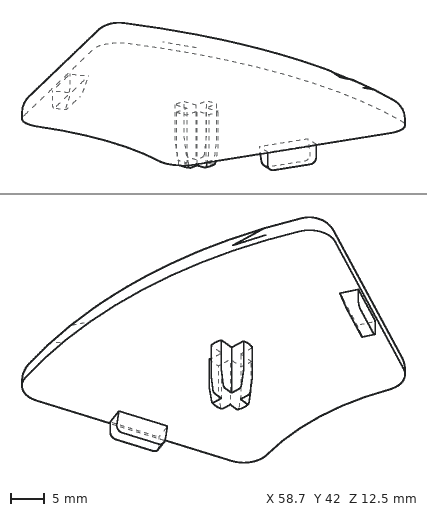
import cadquery as cq
import math

OUTER_RADIUS = 80.0
INNER_RADIUS = OUTER_RADIUS / 2
MID_RADIUS = (OUTER_RADIUS + INNER_RADIUS) / 2
HALF_ANGLE = 22.5
PLATE_THICKNESS = 4.0
CORNER_RADIUS = 4.0
TOP_FILLET = 3.0

POST_LENGTH = 8.5
POST_RADIUS = 3.45
POST_TIP_RADIUS = 3.0
POST_TAPER_LENGTH = 3.0
POST_TIP_FILLET = 0.45
RIB_THICKNESS = 2.0

CLIP_LENGTH = 8.0
CLIP_HEIGHT = 3.0
CLIP_TOP_WIDTH = 2.9
CLIP_BOTTOM_WIDTH = 1.9
CLIP_FILLET = 1.0
CLIP_INSET = 0.35


def polar_point(radius, angle_from_y):
    angle = math.radians(angle_from_y)
    return (radius * math.sin(angle), radius * math.cos(angle))


def make_plate():
    sector = (
        cq.Workplane("XY")
        .moveTo(*polar_point(INNER_RADIUS, -HALF_ANGLE))
        .lineTo(*polar_point(OUTER_RADIUS, -HALF_ANGLE))
        .threePointArc((0, OUTER_RADIUS), polar_point(OUTER_RADIUS, HALF_ANGLE))
        .lineTo(*polar_point(INNER_RADIUS, HALF_ANGLE))
        .threePointArc((0, INNER_RADIUS), polar_point(INNER_RADIUS, -HALF_ANGLE))
        .close()
        .extrude(PLATE_THICKNESS)
    )
    return sector.edges("|Z").fillet(CORNER_RADIUS).faces(">Z").edges().fillet(TOP_FILLET)


def make_post():
    envelope = (
        cq.Workplane("XZ")
        .moveTo(0, 0)
        .lineTo(POST_RADIUS, 0)
        .lineTo(POST_RADIUS, POST_TAPER_LENGTH - POST_LENGTH)
        .lineTo(POST_TIP_RADIUS, -POST_LENGTH)
        .lineTo(0, -POST_LENGTH)
        .close()
        .revolve(360, (0, 0), (0, 1))
        .faces("<Z")
        .edges()
        .fillet(POST_TIP_FILLET)
    )
    rib_span = 2 * POST_RADIUS
    ribs = (
        cq.Workplane("XY")
        .rect(rib_span, RIB_THICKNESS)
        .extrude(-POST_LENGTH)
        .union(cq.Workplane("XY").rect(RIB_THICKNESS, rib_span).extrude(-POST_LENGTH))
    )
    return envelope.intersect(ribs).translate((0, MID_RADIUS, 0))


def make_left_clip():
    clip = (
        cq.Workplane("XZ", origin=(CLIP_INSET, MID_RADIUS + CLIP_LENGTH / 2, 0))
        .polyline([
            (0, 0),
            (CLIP_TOP_WIDTH, 0),
            (CLIP_BOTTOM_WIDTH, -CLIP_HEIGHT),
            (0, -CLIP_HEIGHT),
        ])
        .close()
        .extrude(CLIP_LENGTH)
    )
    clip = clip.faces("<Z").edges("|X").fillet(CLIP_FILLET)
    return clip.rotate((0, 0, 0), (0, 0, 1), HALF_ANGLE)


left_clip = make_left_clip()
right_clip = left_clip.mirror("YZ")
result = make_plate().union(make_post()).union(left_clip).union(right_clip)